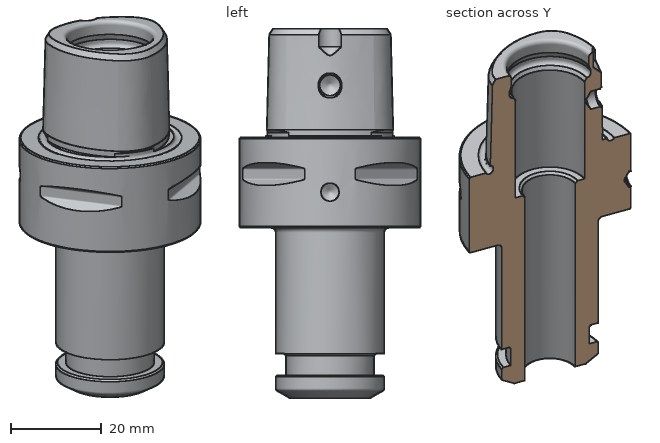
import cadquery as cq
import math


TOTAL_HEIGHT = 81.5
SHANK_HEIGHT = 24.0
FLANGE_HEIGHT = 20.0
BOTTOM_Z = SHANK_HEIGHT - TOTAL_HEIGHT

LOBE_CENTRE_RADIUS = 6.5
LOBE_RADIUS = 8.3
TAPER_PER_LENGTH = 1 / 40
SHANK_BASE_Z = 1.7
SHANK_CHAMFER_HEIGHT = 1.3
SHANK_CHAMFER_WIDTH = 0.8

NECK_RADIUS = 14.1
NECK_TOP_Z = 1.1
NECK_INSET = 0.1
RELIEF_OUTER_RADIUS = 15.8
RELIEF_DEPTH = 0.5
SHELF_Z = 0.3

FLANGE_RADIUS = 40.0 / 2
FLANGE_CHAMFER = 0.3
GRIP_SLOT_DISTANCE = 17.5
GRIP_SLOT_Z = -8.1
GRIP_SLOT_FLOOR_HEIGHT = 2.45
GRIP_SLOT_FLANK_ANGLE = 28.0
GRIP_SLOT_FILLET = 0.5

STEM_RADIUS = 24.0 / 2
STEM_FILLET = 1.0
RING_GROOVE_RADIUS = 19.5 / 2
RING_GROOVE_TOP_Z = -47.7
RING_GROOVE_BOTTOM_Z = -52.4
RING_GROOVE_EDGE = 0.4
COLLAR_END_RADIUS = 8.8
COLLAR_CHAMFER_ANGLE = 30.0
COLLAR_FILLET = 0.65

MOUTH_RADIUS = 9.5
MOUTH_ROUND_WIDTH = 0.9
MOUTH_ROUND_DEPTH = 1.1
LIP_DEPTH = 3.2
UNDERCUT_RADIUS = 20.0 / 2
UNDERCUT_TOP_DEPTH = 4.5
SEAT_RADIUS = 18.0 / 2
SEAT_DEPTH = 6.2
BORE_RADIUS = 8.5
BORE_TOP_DEPTH = 7.1
BORE_FLOOR_DEPTH = 32.6
THROUGH_RADIUS = 12.4 / 2
THROUGH_CHAMFER = 0.6

NOTCH_RADIUS = 2.7
NOTCH_AXIS_X = -13.45
NOTCH_DEPTH = 4.0
DRILL_TIP_ANGLE = 118.0
SHANK_HOLE_RADIUS = 4.6 / 2
SHANK_HOLE_Z = 11.5
SHANK_HOLE_DEPTH = 2.8
SHANK_HOLE_CHAMFER = 0.5
FLANGE_HOLE_RADIUS = 4.0 / 2
FLANGE_HOLE_Z = -12.1
FLANGE_HOLE_DEPTH = 0.5


def polar(radius, degrees):
    angle = math.radians(degrees)
    return cq.Vector(radius * math.cos(angle), radius * math.sin(angle), 0)


def lobed_wire(lobe_radius, z):
    """Closed outline of three lobes joined tangentially by three flatter sides."""
    side_radius = lobe_radius + LOBE_CENTRE_RADIUS * math.sqrt(3)
    lift = cq.Vector(0, 0, z)
    edges = []
    for lobe_angle in (0, 120, 240):
        lobe_centre = polar(LOBE_CENTRE_RADIUS, lobe_angle) + lift
        opposite_centre = polar(LOBE_CENTRE_RADIUS, lobe_angle + 240) + lift
        lobe = [lobe_centre + polar(lobe_radius, lobe_angle + turn) for turn in (-30, 0, 30)]
        side = [opposite_centre + polar(side_radius, lobe_angle + turn) for turn in (30, 60, 90)]
        edges.append(cq.Edge.makeThreePointArc(*lobe))
        edges.append(cq.Edge.makeThreePointArc(*side))
    return cq.Wire.assembleEdges(edges)


def lobed_solid(bottom_radius, bottom_z, top_radius, top_z):
    wires = [lobed_wire(bottom_radius, bottom_z), lobed_wire(top_radius, top_z)]
    return cq.Workplane(obj=cq.Solid.makeLoft(wires, True))


def make_shank():
    chamfer_z = SHANK_HEIGHT - SHANK_CHAMFER_HEIGHT
    rim_radius = LOBE_RADIUS - TAPER_PER_LENGTH * (chamfer_z - SHANK_BASE_Z)
    body = lobed_solid(LOBE_RADIUS, SHANK_BASE_Z, rim_radius, chamfer_z)
    rim = lobed_solid(rim_radius, chamfer_z, rim_radius - SHANK_CHAMFER_WIDTH, SHANK_HEIGHT)
    return body.union(rim)


def make_neck():
    """Lobed neck whose lobe tips are turned down to a cylinder below a 45 degree cone."""
    neck_lobe_radius = LOBE_RADIUS - NECK_INSET
    lobed = lobed_solid(neck_lobe_radius, SHELF_Z, neck_lobe_radius, SHANK_BASE_Z)
    cone_height = SHANK_BASE_Z - NECK_TOP_Z
    turned = (
        cq.Workplane("XZ")
        .moveTo(0, SHELF_Z)
        .lineTo(NECK_RADIUS, SHELF_Z)
        .lineTo(NECK_RADIUS, NECK_TOP_Z)
        .lineTo(NECK_RADIUS + cone_height, SHANK_BASE_Z)
        .lineTo(0, SHANK_BASE_Z)
        .close()
        .revolve(360, (0, 0, 0), (0, 1, 0))
    )
    return lobed.intersect(turned)


def make_turned_body():
    """Flange with the relief around the neck, stem, ring groove and end collar."""
    flange_bottom = -FLANGE_HEIGHT
    relief_middle_radius = (NECK_RADIUS + RELIEF_OUTER_RADIUS) / 2
    stem_arc = STEM_FILLET * (1 - math.sqrt(0.5))
    collar_chamfer_width = STEM_RADIUS - COLLAR_END_RADIUS
    collar_chamfer_height = collar_chamfer_width * math.tan(math.radians(COLLAR_CHAMFER_ANGLE))
    collar_z = BOTTOM_Z + collar_chamfer_height
    body = (
        cq.Workplane("XZ")
        .moveTo(0, SHELF_Z)
        .lineTo(NECK_RADIUS, SHELF_Z)
        .threePointArc((relief_middle_radius, -RELIEF_DEPTH), (RELIEF_OUTER_RADIUS, 0))
        .lineTo(FLANGE_RADIUS - FLANGE_CHAMFER, 0)
        .lineTo(FLANGE_RADIUS, -FLANGE_CHAMFER)
        .lineTo(FLANGE_RADIUS, flange_bottom + FLANGE_CHAMFER)
        .lineTo(FLANGE_RADIUS - FLANGE_CHAMFER, flange_bottom)
        .lineTo(STEM_RADIUS + STEM_FILLET, flange_bottom)
        .threePointArc(
            (STEM_RADIUS + stem_arc, flange_bottom - stem_arc),
            (STEM_RADIUS, flange_bottom - STEM_FILLET),
        )
        .lineTo(STEM_RADIUS, RING_GROOVE_TOP_Z)
        .lineTo(RING_GROOVE_RADIUS + RING_GROOVE_EDGE, RING_GROOVE_TOP_Z)
        .lineTo(RING_GROOVE_RADIUS, RING_GROOVE_TOP_Z - RING_GROOVE_EDGE)
        .lineTo(RING_GROOVE_RADIUS, RING_GROOVE_BOTTOM_Z)
        .lineTo(STEM_RADIUS - RING_GROOVE_EDGE, RING_GROOVE_BOTTOM_Z)
        .lineTo(STEM_RADIUS, RING_GROOVE_BOTTOM_Z - RING_GROOVE_EDGE)
        .lineTo(STEM_RADIUS, collar_z)
        .lineTo(COLLAR_END_RADIUS, BOTTOM_Z)
        .lineTo(0, BOTTOM_Z)
        .close()
        .revolve(360, (0, 0, 0), (0, 1, 0))
    )
    collar_edge = cq.selectors.NearestToPointSelector((0, 0, collar_z))
    return body.edges("%CIRCLE").edges(collar_edge).fillet(COLLAR_FILLET)


def make_bore():
    def at_depth(depth):
        return SHANK_HEIGHT - depth

    mouth_outer = MOUTH_RADIUS + MOUTH_ROUND_WIDTH
    mouth_middle = (
        mouth_outer - MOUTH_ROUND_WIDTH * math.sqrt(0.5),
        at_depth(MOUTH_ROUND_DEPTH * (1 - math.sqrt(0.5))),
    )
    seat_arc_radius = UNDERCUT_RADIUS - SEAT_RADIUS
    seat_arc_middle = (
        SEAT_RADIUS + seat_arc_radius * math.sqrt(0.5),
        at_depth(SEAT_DEPTH - seat_arc_radius * (1 - math.sqrt(0.5))),
    )
    return (
        cq.Workplane("XZ")
        .moveTo(0, SHANK_HEIGHT)
        .lineTo(mouth_outer, SHANK_HEIGHT)
        .threePointArc(mouth_middle, (MOUTH_RADIUS, at_depth(MOUTH_ROUND_DEPTH)))
        .lineTo(MOUTH_RADIUS, at_depth(LIP_DEPTH))
        .lineTo(UNDERCUT_RADIUS, at_depth(UNDERCUT_TOP_DEPTH))
        .lineTo(UNDERCUT_RADIUS, at_depth(SEAT_DEPTH - seat_arc_radius))
        .threePointArc(seat_arc_middle, (SEAT_RADIUS, at_depth(SEAT_DEPTH)))
        .lineTo(BORE_RADIUS, at_depth(BORE_TOP_DEPTH))
        .lineTo(BORE_RADIUS, at_depth(BORE_FLOOR_DEPTH))
        .lineTo(THROUGH_RADIUS + THROUGH_CHAMFER, at_depth(BORE_FLOOR_DEPTH))
        .lineTo(THROUGH_RADIUS, at_depth(BORE_FLOOR_DEPTH + THROUGH_CHAMFER))
        .lineTo(THROUGH_RADIUS, BOTTOM_Z)
        .lineTo(0, BOTTOM_Z)
        .close()
        .revolve(360, (0, 0, 0), (0, 1, 0))
    )


def make_grip_slot(angle):
    """Trapezoidal slot across the flange rim, its flat floor facing the given angle."""
    outer = FLANGE_RADIUS + 0.8
    half_floor = GRIP_SLOT_FLOOR_HEIGHT / 2
    flank_rise = (outer - GRIP_SLOT_DISTANCE) * math.tan(math.radians(GRIP_SLOT_FLANK_ANGLE))
    half_mouth = half_floor + flank_rise
    return (
        cq.Workplane("XZ")
        .polyline([
            (GRIP_SLOT_DISTANCE, GRIP_SLOT_Z - half_floor),
            (outer, GRIP_SLOT_Z - half_mouth),
            (outer, GRIP_SLOT_Z + half_mouth),
            (GRIP_SLOT_DISTANCE, GRIP_SLOT_Z + half_floor),
        ])
        .close()
        .extrude(FLANGE_RADIUS, both=True)
        .faces("<X")
        .edges("|Y")
        .fillet(GRIP_SLOT_FILLET)
        .rotate((0, 0, 0), (0, 0, 1), angle)
    )


def make_drill(radius, depth, tip_height):
    """Drill pointing up +Z with its full diameter ending at the given depth."""
    return (
        cq.Workplane("XZ")
        .polyline([(0, -radius), (radius, -radius), (radius, depth), (0, depth + tip_height)])
        .close()
        .revolve(360, (0, 0, 0), (0, 1, 0))
    )


def make_side_hole(radius, depth, surface_x, z):
    """Blind drilled hole running in +X from the given surface."""
    tip_height = radius / math.tan(math.radians(DRILL_TIP_ANGLE / 2))
    drill = make_drill(radius, depth, tip_height)
    return drill.rotate((0, 0, 0), (0, 1, 0), 90).translate((surface_x, 0, z))


def make_notch():
    drill = make_drill(NOTCH_RADIUS, NOTCH_DEPTH, NOTCH_RADIUS)
    return drill.rotate((0, 0, 0), (1, 0, 0), 180).translate((NOTCH_AXIS_X, 0, SHANK_HEIGHT))


def make_shank_hole():
    side_radius = LOBE_RADIUS + (math.sqrt(3) - 1) * LOBE_CENTRE_RADIUS
    surface_x = -side_radius + TAPER_PER_LENGTH * (SHANK_HOLE_Z - SHANK_BASE_Z)
    mouth_radius = SHANK_HOLE_RADIUS + SHANK_HOLE_CHAMFER
    hole = make_side_hole(SHANK_HOLE_RADIUS, SHANK_HOLE_DEPTH, surface_x, SHANK_HOLE_Z)
    countersink = cq.Workplane(obj=cq.Solid.makeCone(
        mouth_radius,
        SHANK_HOLE_RADIUS,
        SHANK_HOLE_CHAMFER,
        cq.Vector(surface_x, 0, SHANK_HOLE_Z),
        cq.Vector(1, 0, 0),
    ))
    return hole.union(countersink)


result = make_turned_body().union(make_neck()).union(make_shank()).cut(make_bore())
for slot_angle in (45, 135, 225, 315):
    result = result.cut(make_grip_slot(slot_angle))
result = result.cut(make_notch()).cut(make_shank_hole())
result = result.cut(make_side_hole(FLANGE_HOLE_RADIUS, FLANGE_HOLE_DEPTH, -FLANGE_RADIUS, FLANGE_HOLE_Z))